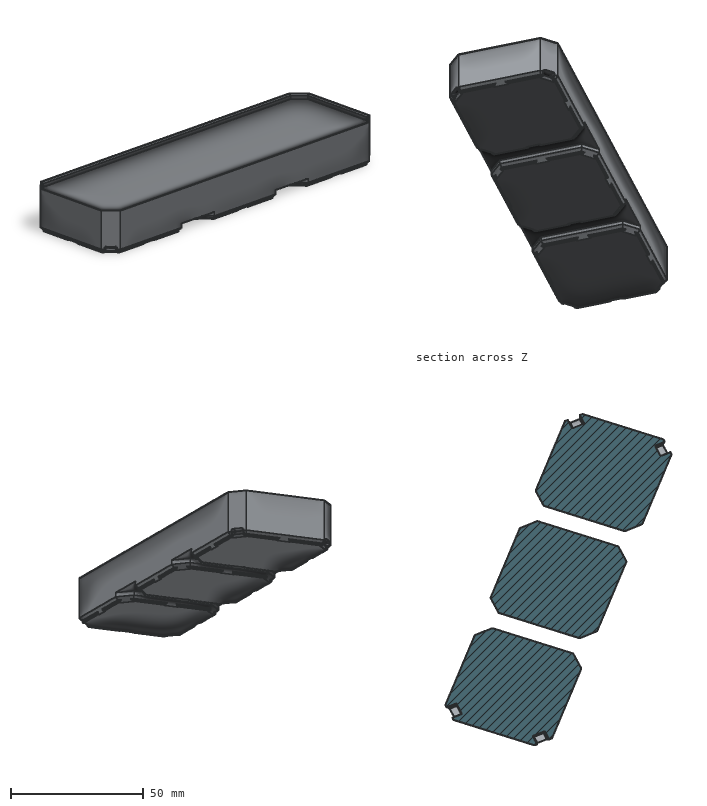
import cadquery as cq

pitch = 50.0
foot_count = 3
width = 43.0
height = 17.6
corner_cut = 5.2
body_length = width + pitch * (foot_count - 1)

foot_height = 3.6
taper_height = 1.95
bead_inset = 1.05
bead_top = taper_height - bead_inset
bead_chamfer = 0.4

gap_half_width = 2.8

slot_width = 4.9
slot_floor = 0.95
slot_roof = 3.0
slot_chamfer = 0.5
slot_relief = 0.6
slot_depth = 4.0

rim_top_width = 0.4
rim_chamfer = 0.6
rim_depth = 2.0

CORNER_SHIFT = 2 ** 0.5 - 1
GAP_DIRECTIONS = 4


def octagon(length, z, inset):
    """Wire of the corner-cut plan outline at height z, with every side moved in by inset."""
    x = width / 2 - inset
    y = length / 2 - inset
    shift = corner_cut + inset * CORNER_SHIFT
    x_cut = width / 2 - shift
    y_cut = length / 2 - shift
    points = [
        (x_cut, -y), (x, -y_cut), (x, y_cut), (x_cut, y),
        (-x_cut, y), (-x, y_cut), (-x, -y_cut), (-x_cut, -y),
    ]
    return cq.Wire.makePolygon([cq.Vector(px, py, z) for px, py in points], close=True)


def octagon_block(length, z_low, z_high, inset_low, inset_high):
    """Solid between two corner-cut outlines, tapered where the insets differ."""
    low = octagon(length, z_low, inset_low)
    high = octagon(length, z_high, inset_high)
    return cq.Workplane(obj=cq.Solid.makeLoft([low, high], True))


def make_bead():
    """Bottom band of a foot, split by a gap at the middle of all eight sides."""
    lower = octagon_block(width, 0, bead_chamfer, bead_inset + bead_chamfer, bead_inset)
    upper = octagon_block(width, bead_chamfer, bead_top, bead_inset, bead_inset)
    bead = lower.union(upper)
    gap_top = gap_half_width - bead_top
    profile = [(-gap_half_width, 0), (gap_half_width, 0), (gap_top, bead_top), (-gap_top, bead_top)]
    gap = cq.Workplane("XZ").polyline(profile).close().extrude(width, both=True)
    for turn in range(GAP_DIRECTIONS):
        bead = bead.cut(gap.rotate((0, 0, 0), (0, 0, 1), turn * 180 / GAP_DIRECTIONS))
    return bead


def make_foot():
    taper = octagon_block(width, 0, taper_height, taper_height, 0)
    neck = octagon_block(width, taper_height, foot_height, 0, 0)
    return neck.union(taper).union(make_bead())


def make_slot(x_sign, y_sign):
    """Cutter for the slot in one outer corner, running in along the corner's diagonal."""
    half = slot_width / 2
    profile = [
        (-half + slot_chamfer, slot_floor), (half - slot_chamfer, slot_floor),
        (half, slot_floor + slot_chamfer), (half, slot_roof - slot_relief),
        (half - slot_relief, slot_roof), (-half + slot_relief, slot_roof),
        (-half, slot_roof - slot_relief), (-half, slot_floor + slot_chamfer),
    ]
    plane = cq.Plane(
        origin=(x_sign * (width - corner_cut) / 2, y_sign * (body_length - corner_cut) / 2, 0),
        xDir=(-y_sign, x_sign, 0),
        normal=(x_sign, y_sign, 0),
    )
    return cq.Workplane(plane).polyline(profile).close().extrude(slot_depth, both=True)


def make_recess():
    wall_inset = rim_top_width + rim_chamfer
    chamfer_bottom = height - rim_chamfer
    well = octagon_block(body_length, height - rim_depth, chamfer_bottom, wall_inset, wall_inset)
    mouth = octagon_block(body_length, chamfer_bottom, height, wall_inset, rim_top_width)
    return well.union(mouth)


result = octagon_block(body_length, foot_height, height, 0, 0)
for index in range(foot_count):
    foot_y = (index - (foot_count - 1) / 2) * pitch
    result = result.union(make_foot().translate((0, foot_y, 0)))
for x_sign in (-1, 1):
    for y_sign in (-1, 1):
        result = result.cut(make_slot(x_sign, y_sign))
result = result.cut(make_recess())